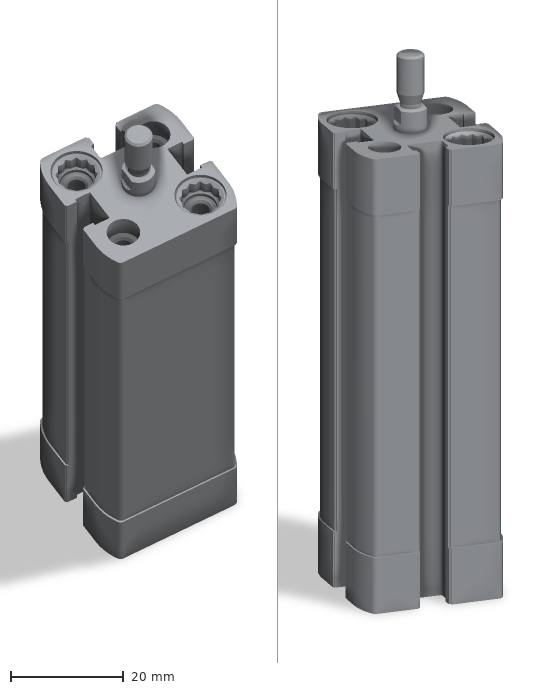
import cadquery as cq
import math

overall_height = 99.2
housing_height = 85.1
cap_height = 10.5
cap_side = 27.5
tube_inset = 0.3

corner_arc_reach = 5.8
corner_arc_drop = 1.7
corner_arc_radius = (corner_arc_reach**2 + corner_arc_drop**2) / (2 * corner_arc_drop)
corner_blend_radius = 1.0

slot_shift = 0.6
slot_mouth_width = 5.6
slot_inner_width = 6.7
slot_depth = 5.4
slot_lip = 2.3
slot_mouth_radius = 0.3
side_slot_mouth_width = 5.5
side_slot_depth = 5.5
side_slot_lip = 2.1
side_slot_mouth_radius = 0.4
side_slot_corner_radius = 0.4

hole_spacing = 16.0
through_diameter = 3.3
countersink_diameter = 4.2
bore_diameter = 6.0
bore_depth = 4.0

recess_diameter = 9.2
recess_depth = 0.7
head_diameter = 9.0
head_chamfer = 0.25
groove_diameter = 7.5
socket_bottom = 3.3
socket_points = 12
ridge_diameter = groove_diameter * math.cos(math.pi / 6) / math.cos(math.pi / socket_points)
lead_in_diameter = 8.3
lead_in_depth = 0.6

rod_diameter = 6.0
rod_socket_depth = cap_height
collar_height = 4.3
collar_chamfer_height = 0.3
collar_chamfer_width = 0.7
neck_diameter = 3.8
neck_height = 0.7
cone_height = 1.9
thread_diameter = 5.0
tip_chamfer = 0.4
flat_width = 5.0
flat_height = 2.8


def rounded_block(side, height):
    """Square block with flat left and right sides and a large arc at each corner of front and back."""
    half = side / 2
    arc_start = half - corner_arc_reach
    arc_end = half - corner_arc_drop
    outline = (
        cq.Workplane("XY")
        .moveTo(-arc_start, -half)
        .lineTo(arc_start, -half)
        .radiusArc((half, -arc_end), -corner_arc_radius)
        .lineTo(half, arc_end)
        .radiusArc((arc_start, half), -corner_arc_radius)
        .lineTo(-arc_start, half)
        .radiusArc((-half, arc_end), -corner_arc_radius)
        .lineTo(-half, -arc_end)
        .radiusArc((-arc_start, -half), -corner_arc_radius)
        .close()
    )
    block = outline.extrude(height)
    corners = block.edges("|Z").edges("<X or >X")
    return corners.fillet(corner_blend_radius)


def t_slot(block_side, mouth_width, depth, lip, mouth_radius, corner_radius=0.0):
    """T-shaped slot cutter opening toward -Y, centred on x = 0.

    The depth and the lip count from the cap face, the rounded mouth edges from the block's own face.
    """
    cap_face = -cap_side / 2
    face = -block_side / 2
    half = mouth_width / 2
    mouth = (
        cq.Workplane("XY")
        .moveTo(-half - mouth_radius, face)
        .radiusArc((-half, face + mouth_radius), mouth_radius)
        .lineTo(-half, cap_face + depth)
        .lineTo(half, cap_face + depth)
        .lineTo(half, face + mouth_radius)
        .radiusArc((half + mouth_radius, face), mouth_radius)
        .close()
        .extrude(housing_height)
    )
    inner = cq.Workplane("XY").box(
        slot_inner_width, depth - lip, housing_height, centered=(True, False, False)
    )
    if corner_radius > 0:
        inner = inner.edges("|Z").fillet(corner_radius)
    return mouth.union(inner.translate((0, cap_face + lip, 0)))


def slotted_block(side, height):
    """Rounded block with a slot at the front, its half-turn copy at the back, and one on the left."""
    slot = t_slot(side, slot_mouth_width, slot_depth, slot_lip, slot_mouth_radius)
    slot = slot.translate((slot_shift, 0, 0))
    side_slot = t_slot(
        side,
        side_slot_mouth_width,
        side_slot_depth,
        side_slot_lip,
        side_slot_mouth_radius,
        side_slot_corner_radius,
    )
    side_slot = side_slot.rotate((0, 0, 0), (0, 0, 1), -90).translate((0, slot_shift, 0))
    block = rounded_block(side, height).cut(side_slot)
    for angle in (0, 180):
        block = block.cut(slot.rotate((0, 0, 0), (0, 0, 1), angle))
    return block


def make_housing():
    tube_height = housing_height - 2 * cap_height
    cap = slotted_block(cap_side, cap_height)
    tube = slotted_block(cap_side - 2 * tube_inset, tube_height)
    body = cap.union(tube.translate((0, 0, cap_height)))
    body = body.union(cap.translate((0, 0, cap_height + tube_height)))

    offset = hole_spacing / 2
    for x, y in ((-offset, offset), (offset, -offset)):
        body = body.cut(bored_hole().translate((x, y, 0)))
    for x, y in ((-offset, -offset), (offset, offset)):
        body = body.cut(socket_hole().translate((x, y, 0)))
    rod_hole = cylinder(rod_diameter, rod_socket_depth, housing_height - rod_socket_depth)
    return body.cut(rod_hole)


def cylinder(diameter, height, base):
    return cq.Workplane("XY").workplane(offset=base).circle(diameter / 2).extrude(height)


def cone(bottom_diameter, top_diameter, height, base):
    solid = cq.Solid.makeCone(bottom_diameter / 2, top_diameter / 2, height, cq.Vector(0, 0, base))
    return cq.Workplane(solid)


def through_hole(seat):
    """Through hole with a countersink at the height of its seat."""
    sink_depth = (countersink_diameter - through_diameter) / 2
    sink = cone(through_diameter, countersink_diameter, sink_depth, seat - sink_depth)
    return cylinder(through_diameter, seat, 0).union(sink)


def bored_hole():
    """Through hole with a wide bore at the top."""
    seat = housing_height - bore_depth
    return through_hole(seat).union(cylinder(bore_diameter, bore_depth, seat))


def serrated_prism(base, height):
    """Prism with a star outline of alternating grooves and ridges."""
    points = []
    for i in range(2 * socket_points):
        radius = (groove_diameter if i % 2 == 0 else ridge_diameter) / 2
        angle = math.pi * i / socket_points
        points.append((radius * math.cos(angle), radius * math.sin(angle)))
    return cq.Workplane("XY").workplane(offset=base).polyline(points).close().extrude(height)


def socket_hole():
    """Bored hole with a serrated socket in a chamfered head below the top face."""
    recess_floor = housing_height - recess_depth
    head_top = recess_floor + head_chamfer
    head = cone(head_diameter, head_diameter - 2 * head_chamfer, head_chamfer, recess_floor)
    recess = cylinder(recess_diameter, recess_depth, recess_floor).cut(head)
    socket_base = housing_height - socket_bottom
    socket = serrated_prism(socket_base, head_top - socket_base)
    lead_in = cone(ridge_diameter, lead_in_diameter, lead_in_depth, head_top - lead_in_depth)
    return recess.union(bored_hole()).union(socket).union(lead_in)


def make_rod():
    base = housing_height - rod_socket_depth
    collar_top = housing_height + collar_height
    neck_top = collar_top + neck_height
    cone_top = neck_top + cone_height
    rod_r = rod_diameter / 2
    thread_r = thread_diameter / 2
    rod = (
        cq.Workplane("XZ")
        .moveTo(0, base)
        .lineTo(rod_r, base)
        .lineTo(rod_r, collar_top - collar_chamfer_height)
        .lineTo(rod_r - collar_chamfer_width, collar_top)
        .lineTo(neck_diameter / 2, collar_top)
        .lineTo(neck_diameter / 2, neck_top)
        .lineTo(thread_r, cone_top)
        .lineTo(thread_r, overall_height - tip_chamfer)
        .lineTo(thread_r - tip_chamfer, overall_height)
        .lineTo(0, overall_height)
        .close()
        .revolve(360, (0, 0, 0), (0, 1, 0))
    )
    run_out = (rod_diameter - flat_width) / 2
    flat_base = collar_top - flat_height
    cutter = (
        cq.Workplane("YZ")
        .moveTo(flat_width / 2, collar_top)
        .lineTo(flat_width / 2, flat_base)
        .lineTo(flat_width / 2 + run_out, flat_base - run_out)
        .lineTo(flat_width / 2 + run_out, collar_top)
        .close()
        .extrude(rod_r, both=True)
    )
    return rod.cut(cutter).cut(cutter.mirror("XZ"))


housing = make_housing()
rod = make_rod()
result = cq.Compound.makeCompound([housing.val(), rod.val()])